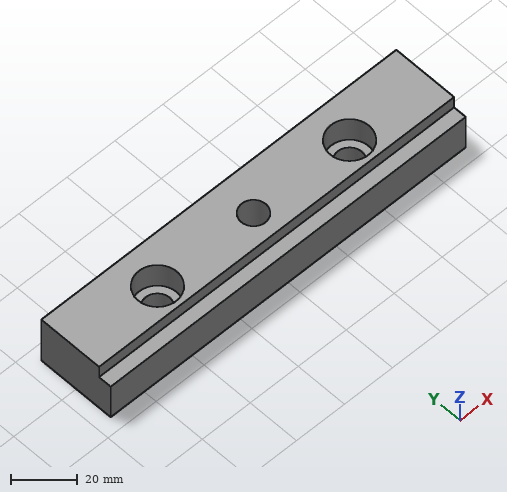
import cadquery as cq

length = 148.0
width = 30.0
height = 20.0
step_size = 5.0
hole_diameter = 10.0
counterbore_diameter = 16.0
counterbore_depth = 10.0
bolt_spacing = 80.0

bar = cq.Workplane("XY").box(length, width, height, centered=(True, True, False))

step = (
    cq.Workplane("XY")
    .box(length, step_size, step_size, centered=(True, False, False))
    .translate((0, -width / 2, height - step_size))
)
bar = bar.cut(step)

top_plane = cq.Workplane("XY", origin=(0, 0, height))
centre_hole = top_plane.circle(hole_diameter / 2).extrude(-height)
bar = bar.cut(centre_hole)

for x in (-bolt_spacing / 2, bolt_spacing / 2):
    bolt_hole = top_plane.center(x, 0).circle(hole_diameter / 2).extrude(-height)
    counterbore = top_plane.center(x, 0).circle(counterbore_diameter / 2).extrude(-counterbore_depth)
    bar = bar.cut(bolt_hole).cut(counterbore)

result = bar